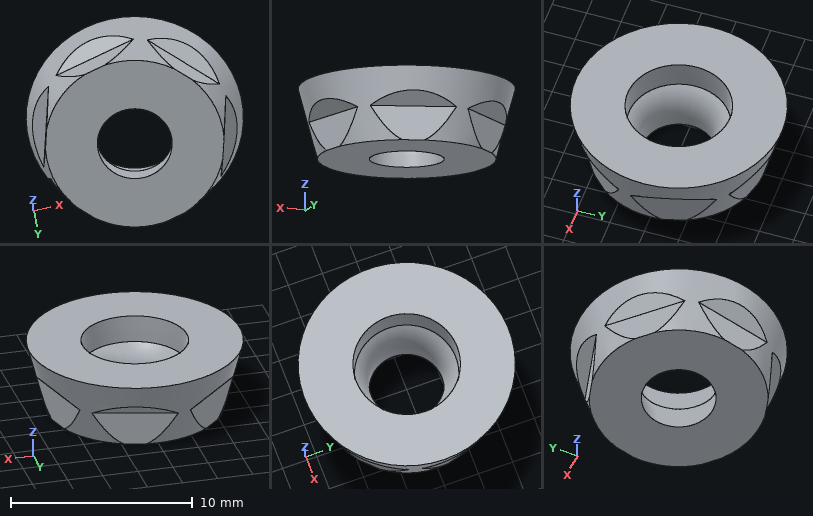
import cadquery as cq
import math

height = 3.97
top_radius = 5.98
relief_angle = 15.0
bottom_radius = top_radius - height * math.tan(math.radians(relief_angle))

mouth_radius = 2.95
seat_radius = 2.87
bore_radius = 4.1 / 2
mouth_depth = 1.53
bore_height = 0.73

flat_count = 6
first_flat_angle = 15.0
flat_distance = 4.88
flat_height = 1.9
cutter_reach = 2.39
cutter_width = 7.17


def make_body():
    profile = (
        cq.Workplane("XZ")
        .lineTo(bottom_radius, 0)
        .lineTo(top_radius, height)
        .lineTo(0, height)
        .close()
    )
    return profile.revolve(360, (0, 0, 0), (0, 1, 0))


def make_screw_hole():
    seat_height = height - mouth_depth
    seat_drop = seat_height - bore_height
    seat_step = seat_radius - bore_radius
    arc_radius = (seat_drop**2 + seat_step**2) / (2 * seat_step)
    half_sweep = math.asin(seat_drop / arc_radius) / 2
    arc_middle = (
        bore_radius + arc_radius * (1 - math.cos(half_sweep)),
        bore_height + arc_radius * math.sin(half_sweep),
    )
    profile = (
        cq.Workplane("XZ")
        .lineTo(bore_radius, 0)
        .lineTo(bore_radius, bore_height)
        .threePointArc(arc_middle, (seat_radius, seat_height))
        .lineTo(mouth_radius, height)
        .lineTo(0, height)
        .close()
    )
    return profile.revolve(360, (0, 0, 0), (0, 1, 0))


def make_flat_cutter(angle):
    outer = flat_distance + cutter_reach
    profile = (
        cq.Workplane("XZ")
        .moveTo(flat_distance, 0)
        .lineTo(outer, 0)
        .lineTo(outer, flat_height + cutter_reach)
        .lineTo(flat_distance, flat_height)
        .close()
    )
    cutter = profile.extrude(cutter_width / 2, both=True)
    return cutter.rotate((0, 0, 0), (0, 0, 1), angle)


result = make_body().cut(make_screw_hole())
for index in range(flat_count):
    flat_angle = first_flat_angle + index * 360 / flat_count
    result = result.cut(make_flat_cutter(flat_angle))